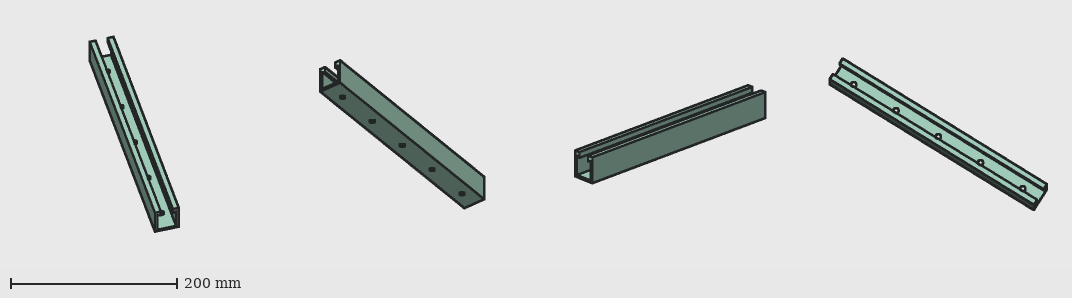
import cadquery as cq

length = 290.0
width = 30.0
height = 34.0
wall = 3.5
floor = 3.0
slot_width = 15.0
lip_root_depth = 6.0
lip_tip_depth = 7.5
hole_diameter = 6.5
hole_pitch = 60.0
hole_count = 5

half_width = width / 2
half_cavity = half_width - wall
half_slot = slot_width / 2


def channel():
    """C-shaped channel along X, with lips that thicken towards the slot."""
    half_outline = [
        (0, 0),
        (half_width, 0),
        (half_width, height),
        (half_slot, height),
        (half_slot, height - lip_tip_depth),
        (half_cavity, height - lip_root_depth),
        (half_cavity, floor),
        (0, floor),
    ]
    half_section = cq.Workplane("YZ", origin=(-length / 2, 0, 0)).polyline(half_outline).close()
    half = half_section.extrude(length)
    return half.union(half.mirror("XZ")).clean()


def floor_holes():
    """Row of round cutters through the floor along its centre line."""
    return (
        cq.Workplane("XY")
        .rarray(hole_pitch, 3, hole_count, 1)
        .circle(hole_diameter / 2)
        .extrude(floor)
    )


result = channel().cut(floor_holes())